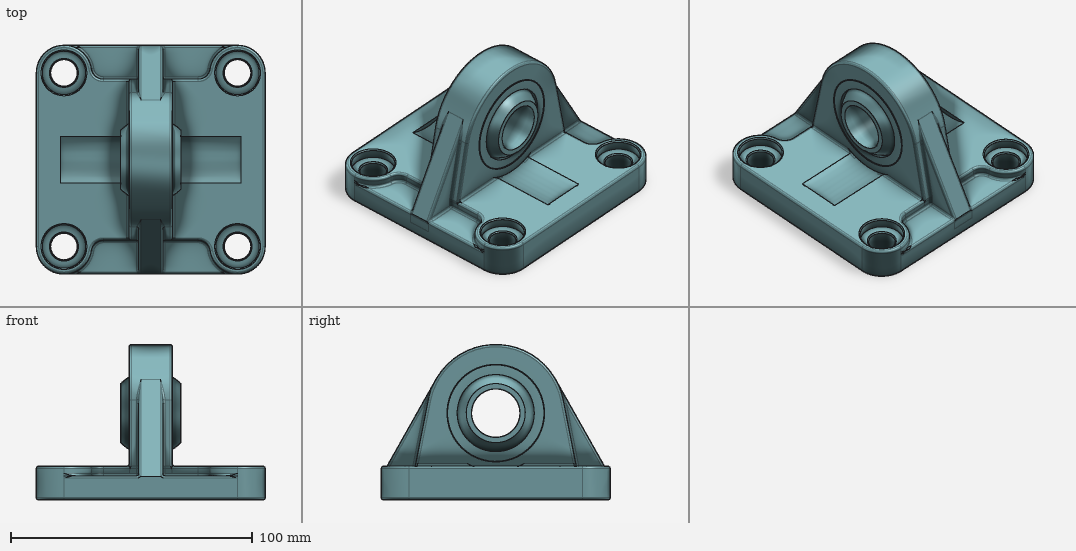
import cadquery as cq
import math

plate_size = 95.0
plate_height = 14.0
edge_radius = 1.0
half_plate = plate_size / 2

hole_spacing = 72.0
hole_diameter = 11.0
counterbore_diameter = 18.0
counterbore_depth = 4.0
hole_chamfer = 0.5
half_spacing = hole_spacing / 2
corner_radius = half_plate - half_spacing

recess_floor = 10.0
recess_wall = 33.4
recess_blend_radius = 5.0

eye_width = 18.0
eye_radius = 28.5
axis_height = 36.0

rib_width = 10.0
rib_foot_height = 9.75

trough_radius = 24.0
trough_length = 75.0

bore_diameter = 20.0
ball_diameter = 35.0
ball_width = 25.0
race_diameter = 40.0
race_opening_diameter = 32.0
groove_width = 0.25
groove_depth = 0.25

buried_height = 5.0
tolerance = 0.05


def tangent_point(y, z):
    """Point where the line from (y, z) touches the outer side of the eye circle."""
    dz = z - axis_height
    angle = math.atan2(dz, y) + math.acos(eye_radius / math.hypot(y, dz))
    return eye_radius * math.cos(angle), axis_height + eye_radius * math.sin(angle)


def x_cylinder(diameter, length):
    """Cylinder along X, centred on the bearing axis."""
    return (
        cq.Workplane("YZ", origin=(-length / 2, 0, axis_height))
        .circle(diameter / 2)
        .extrude(length)
    )


def on_both_sides(shape):
    """The shape together with its mirror image across the XZ plane."""
    return shape.union(shape.mirror("XZ"))


def recess_outline(height):
    """Plan of the +Y recess at a height; it runs past the plate edge on the outer side."""
    reach = plate_size
    blend_y = recess_wall + recess_blend_radius
    centre_distance = corner_radius + recess_blend_radius
    blend_x = half_spacing - math.sqrt(centre_distance**2 - (blend_y - half_spacing) ** 2)
    share = recess_blend_radius / centre_distance
    meet_x = blend_x + share * (half_spacing - blend_x)
    meet_y = blend_y + share * (half_spacing - blend_y)
    return (
        cq.Workplane("XY", origin=(0, 0, height))
        .moveTo(0, recess_wall)
        .lineTo(blend_x, recess_wall)
        .tangentArcPoint((meet_x, meet_y), relative=False)
        .tangentArcPoint((half_spacing, half_plate), relative=False)
        .lineTo(reach, half_plate)
        .lineTo(reach, reach)
        .lineTo(0, reach)
        .mirrorY()
    )


def make_recess():
    """Cutter for the +Y recess: round floor corners and a rounded outer floor edge."""
    pocket = recess_outline(recess_floor).extrude(plate_height)
    pocket = pocket.faces("<Z").edges().fillet(edge_radius)
    rim_y = half_plate - edge_radius
    rim_z = recess_floor - edge_radius
    rim = (
        cq.Workplane("YZ", origin=(-half_spacing, 0, 0))
        .moveTo(rim_y, recess_floor)
        .radiusArc((half_plate, rim_z), edge_radius)
        .lineTo(half_plate, recess_floor)
        .close()
        .extrude(hole_spacing)
    )
    return pocket.union(recess_outline(rim_z).extrude(edge_radius).intersect(rim))


def make_plate():
    """Rounded square plate with both recesses cut and its top and bottom edges rounded."""
    plate = (
        cq.Workplane("XY")
        .rect(plate_size, plate_size)
        .extrude(plate_height)
        .edges("|Z")
        .fillet(corner_radius)
        .faces("<Z")
        .edges()
        .fillet(edge_radius)
    )
    plate = plate.cut(on_both_sides(make_recess()))
    return plate.faces(">Z").edges().fillet(edge_radius)


def make_eye():
    """Upright plate with a round top, tapering out to the recess walls at its foot."""
    flank_y, flank_z = tangent_point(recess_wall, plate_height)
    outline = (
        cq.Workplane("YZ", origin=(-eye_width / 2, 0, 0))
        .moveTo(-recess_wall, buried_height)
        .lineTo(-recess_wall, plate_height)
        .lineTo(-flank_y, flank_z)
        .threePointArc((0, axis_height + eye_radius), (flank_y, flank_z))
        .lineTo(recess_wall, plate_height)
        .lineTo(recess_wall, buried_height)
        .close()
    )
    above_plate = cq.selectors.BoxSelector(
        (-plate_size, -plate_size, plate_height + tolerance),
        (plate_size, plate_size, axis_height + plate_size),
    )
    return outline.extrude(eye_width).edges(above_plate).fillet(edge_radius)


def make_ribs():
    """Both ribs as one profile along Y, with rounded edges on the slopes."""
    top_y, top_z = tangent_point(half_plate, rib_foot_height)
    return (
        cq.Workplane("YZ", origin=(-rib_width / 2, 0, 0))
        .moveTo(-half_plate, buried_height)
        .lineTo(-half_plate, rib_foot_height)
        .lineTo(-top_y, top_z)
        .lineTo(top_y, top_z)
        .lineTo(half_plate, rib_foot_height)
        .lineTo(half_plate, buried_height)
        .close()
        .extrude(rib_width)
        .edges("(not |X) and (not |Y) and (not |Z)")
        .fillet(edge_radius)
    )


def fillet_rib_roots(body):
    """Round the corners at the eye flanks and recess walls; the smooth chain takes in the floors."""
    flank_top_y, _ = tangent_point(recess_wall, plate_height)
    roots = []
    for x_side in (-1, 1):
        for y_side in (-1, 1):
            corner = cq.selectors.BoxSelector(
                (x_side * (rib_width / 2 - tolerance), y_side * (flank_top_y + tolerance), recess_floor),
                (x_side * (rib_width / 2 + tolerance), y_side * (recess_wall + tolerance), axis_height),
            )
            roots += body.edges(corner).vals()
    return body.newObject(roots).fillet(edge_radius)


def make_eye_foot_fillet():
    """Concave strip along the +X foot of the eye, between the rounded recess edges."""
    face_x = eye_width / 2
    buried_x = face_x - edge_radius
    buried_z = plate_height - edge_radius
    half_length = recess_wall - edge_radius
    return (
        cq.Workplane("XZ", origin=(0, half_length, 0))
        .moveTo(buried_x, buried_z)
        .lineTo(face_x + edge_radius, buried_z)
        .lineTo(face_x + edge_radius, plate_height)
        .radiusArc((face_x, plate_height + edge_radius), edge_radius)
        .lineTo(buried_x, plate_height + edge_radius)
        .close()
        .extrude(2 * half_length)
    )


def cut_mounting_holes(body):
    """Four counterbored through holes with chamfered mouths."""
    top = cq.Workplane("XY", origin=(0, 0, plate_height))
    seat = top.workplane(offset=-counterbore_depth)
    positions = [(x, y) for x in (-half_spacing, half_spacing) for y in (-half_spacing, half_spacing)]

    def chamfered_hole(plane, diameter, depth):
        bore = plane.circle(diameter / 2).extrude(-depth)
        mouth = plane.circle(diameter / 2 + hole_chamfer).extrude(-hole_chamfer, taper=45)
        return bore.union(mouth)

    hole = chamfered_hole(top, counterbore_diameter, counterbore_depth)
    hole = hole.union(chamfered_hole(seat, hole_diameter, plate_height))
    for x, y in positions:
        body = body.cut(hole.translate((x, y, 0)))
    return body


def add_bearing(body):
    """Outer ring flush with the eye, bounded by a fine groove, and the bored ball in it."""
    groove = x_cylinder(race_diameter + 2 * groove_width, eye_width)
    groove = groove.cut(x_cylinder(race_diameter, eye_width))
    groove = groove.cut(x_cylinder(plate_size, eye_width - 2 * groove_depth))
    ball_end = ball_width / 2
    ball_end_radius = math.sqrt((ball_diameter / 2) ** 2 - ball_end**2)
    ball = (
        cq.Workplane("XZ", origin=(0, 0, axis_height))
        .moveTo(-ball_end, 0)
        .lineTo(-ball_end, -ball_end_radius)
        .threePointArc((0, -ball_diameter / 2), (ball_end, -ball_end_radius))
        .lineTo(ball_end, 0)
        .close()
        .revolve(360, (0, 0, 0), (1, 0, 0))
    )
    body = body.cut(groove).cut(x_cylinder(race_opening_diameter, eye_width))
    return body.union(ball).cut(x_cylinder(bore_diameter, ball_width))


trough = x_cylinder(2 * trough_radius, trough_length)
foot_fillet = make_eye_foot_fillet().cut(trough)

result = make_plate().cut(trough).union(make_eye()).clean().union(make_ribs()).clean()
result = fillet_rib_roots(result)
result = result.union(foot_fillet).union(foot_fillet.mirror("YZ"))
result = cut_mounting_holes(result)
result = add_bearing(result).clean()